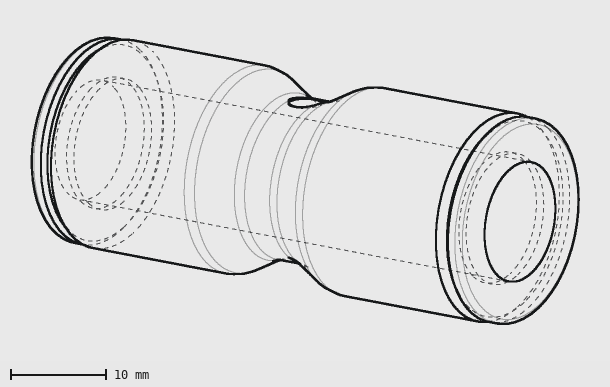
import cadquery as cq

length = 55.1
body_diameter = 22.1
bore_diameter = 12.7

collar_diameter = 21.75
collar_width = 1.95
collar_round = 0.55
collar_bevel = 0.5
collar_stem_diameter = 13.9
body_inset = 2.85

waist_diameter = 17.2
waist_half_width = 2.2
shoulder_half_width = 7.0
waist_blend_radius = 2.5

mark_diameter = 3.55
mark_floor_height = 8.4

half_length = length / 2
body_radius = body_diameter / 2
waist_radius = waist_diameter / 2


def x_cylinder(diameter, x_start, x_end):
    """Solid cylinder along X between two positions."""
    return cq.Workplane("YZ", origin=(x_start, 0, 0)).circle(diameter / 2).extrude(x_end - x_start)


def make_body():
    """Revolved body with conical shoulders blended into the waist."""
    body_half_length = half_length - body_inset
    profile = [
        (-body_half_length, 0),
        (-body_half_length, body_radius),
        (-shoulder_half_width, body_radius),
        (-waist_half_width, waist_radius),
        (waist_half_width, waist_radius),
        (shoulder_half_width, body_radius),
        (body_half_length, body_radius),
        (body_half_length, 0),
    ]
    body = cq.Workplane("XY").polyline(profile).close().revolve(360, (0, 0, 0), (1, 0, 0))
    blend_reach = shoulder_half_width + 0.55
    blend_zone = cq.selectors.BoxSelector(
        (-blend_reach, -body_diameter, -body_diameter),
        (blend_reach, body_diameter, body_diameter),
    )
    return body.edges("%CIRCLE").edges(blend_zone).fillet(waist_blend_radius)


def make_collar():
    """Left collar disc: rounded outer rim, bevelled rim facing the body."""
    disc = x_cylinder(collar_diameter, -half_length, -half_length + collar_width)
    return disc.faces("<X").edges().fillet(collar_round).faces(">X").edges().chamfer(collar_bevel)


def make_mark_recess():
    """Flat-floored round cutter for the top of the waist."""
    return (
        cq.Workplane("XY", origin=(0, 0, mark_floor_height))
        .circle(mark_diameter / 2)
        .extrude(body_radius - mark_floor_height)
    )


stem = x_cylinder(collar_stem_diameter, -half_length + collar_round, half_length - collar_round)
result = make_body().union(stem)
left_collar = make_collar()
result = result.union(left_collar).union(left_collar.mirror("YZ"))

bore = x_cylinder(bore_diameter, -half_length, half_length)
result = result.cut(bore).cut(make_mark_recess())